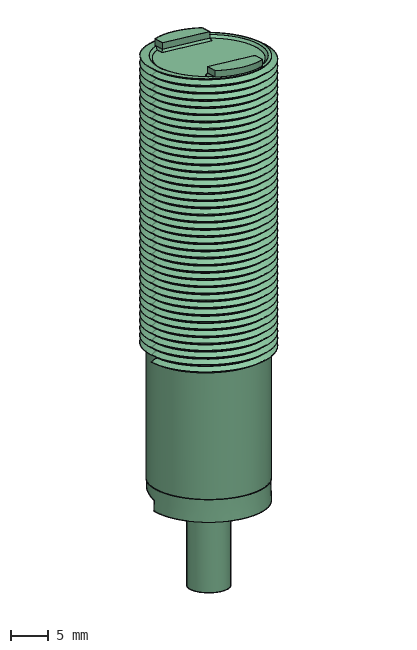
import cadquery as cq
import math

total_height = 76.02
rim_z = 75.1
thread_start_z = 33.55
cap_top_z = 15.25
cap_bottom_z = 12.05
hub_bottom_z = 11.2

body_radius = 8.36
cap_top_radius = 8.22
hub_radius = 3.7
cable_radius = 2.95

thread_pitch = 1.016
thread_crest_radius = 9.175
thread_root_radius = 8.3
root_gap = 0.02
thread_overrun = 3 * thread_pitch

recess_depth = 0.35
recess_rim_radius = 7.9
recess_floor_radius = 7.5
tab_outer_radius = 8.13
tab_inner_x = 5.38
tab_half_width = 3.78
tab_foot_flare = 0.22

rib_half_width = 0.66
scoop_radius = 6.14
scoop_centre = rib_half_width + scoop_radius
scoop_reach = 2 * body_radius

ceiling_edge_depth = 1.2
ceiling_edge_z = cap_top_z - ceiling_edge_depth
deep_corner_angle = 225
ceiling_slope = 16.0
indicator_distance = 5.3
indicator_radius = 1.2
indicator_depth = 1.0


def cylinder(radius, bottom_z, top_z):
    return cq.Workplane("XY").workplane(offset=bottom_z).circle(radius).extrude(top_z - bottom_z)


def frustum(bottom_radius, top_radius, bottom_z, top_z):
    half_section = [(0, bottom_z), (bottom_radius, bottom_z), (top_radius, top_z), (0, top_z)]
    return cq.Workplane("XZ").polyline(half_section).close().revolve()


def turn(shape, angle):
    """Turn a shape about the part's axis."""
    return shape.rotate((0, 0, 0), (0, 0, 1), angle)


def make_thread_turn():
    """The first turn of the thread ridge, starting on the -Y side."""
    half_base = (thread_pitch - root_gap) / 2
    helix = cq.Wire.makeHelix(thread_pitch, thread_pitch, body_radius)
    ridge = (
        cq.Workplane("XZ")
        .moveTo(thread_root_radius, -half_base)
        .lineTo(thread_crest_radius, 0)
        .lineTo(thread_root_radius, half_base)
        .close()
        .sweep(cq.Workplane(helix), isFrenet=True)
        .translate((0, 0, thread_start_z))
    )
    return turn(ridge, -90)


def make_body():
    """Threaded body, cut off level at the rim, with the recess and its tabs."""
    overrun_z = rim_z + thread_overrun
    body = cylinder(body_radius, cap_top_z, overrun_z)
    first_turn = make_thread_turn().val()
    turn_count = math.ceil((rim_z - thread_start_z) / thread_pitch) + 1
    turns = [first_turn.translate((0, 0, i * thread_pitch)) for i in range(turn_count)]
    body = cq.Workplane(body.val().fuse(*turns))
    body = body.cut(cylinder(2 * thread_crest_radius, rim_z, overrun_z))
    body = body.cut(frustum(recess_floor_radius, recess_rim_radius, rim_z - recess_depth, rim_z))
    for side in (1, -1):
        body = body.union(make_tab(side))
    return body


def make_tab(side):
    """A tab at +X (side 1) or -X (side -1) that flares towards the recess floor."""
    floor_z = rim_z - recess_depth

    def footprint(plane, flare):
        length = tab_outer_radius - tab_inner_x + flare
        centre_x = side * (tab_outer_radius - length / 2)
        return plane.center(centre_x, 0).rect(length, 2 * (tab_half_width + flare))

    foot = footprint(cq.Workplane("XY").workplane(offset=floor_z), tab_foot_flare)
    foot = (
        foot.workplane(offset=recess_depth)
        .center(side * tab_foot_flare / 2, 0)
        .rect(tab_outer_radius - tab_inner_x, 2 * tab_half_width)
        .loft(ruled=True)
    )
    upright = footprint(cq.Workplane("XY").workplane(offset=rim_z), 0).extrude(total_height - rim_z)
    return foot.union(upright).intersect(cylinder(tab_outer_radius, floor_z, total_height))


def make_scoop(top_z):
    """Cutter for the (-X, -Y) corner: straight along both ribs and round towards the hub."""
    tangent = -rib_half_width
    centre = -scoop_centre
    middle = centre + scoop_radius * math.sqrt(0.5)
    return (
        cq.Workplane("XY")
        .moveTo(tangent, -scoop_reach)
        .lineTo(tangent, centre)
        .threePointArc((middle, middle), (centre, tangent))
        .lineTo(-scoop_reach, tangent)
        .lineTo(-scoop_reach, -scoop_reach)
        .close()
        .extrude(top_z)
    )


def make_deep_scoop():
    """Scoop below a ceiling that falls towards the hub, with the indicator hole in it."""
    fall = math.tan(math.radians(ceiling_slope))
    ceiling_axis_z = ceiling_edge_z - cap_top_radius * fall
    ceiling_outer_z = ceiling_edge_z + (scoop_reach - cap_top_radius) * fall
    below_ceiling = (
        cq.Workplane("XZ")
        .moveTo(0, 0)
        .lineTo(scoop_reach, 0)
        .lineTo(scoop_reach, ceiling_outer_z)
        .lineTo(0, ceiling_axis_z)
        .close()
        .extrude(scoop_reach, both=True)
    )
    indicator_z = ceiling_axis_z + indicator_distance * fall
    indicator = cylinder(indicator_radius, cap_bottom_z, indicator_z + indicator_depth)
    indicator = indicator.translate((indicator_distance, 0, 0))
    scoop = make_scoop(cap_top_z).intersect(turn(below_ceiling, deep_corner_angle))
    return scoop.union(turn(indicator, deep_corner_angle))


def make_end_cap():
    cap = frustum(body_radius, cap_top_radius, cap_bottom_z, cap_top_z)
    hub = frustum(hub_radius, body_radius, hub_bottom_z, cap_bottom_z)
    cap = cap.union(hub)
    for angle in (90, 180, 270):
        cap = cap.cut(turn(make_scoop(cap_bottom_z), angle))
    return cap.cut(make_deep_scoop())


result = make_body().union(make_end_cap()).union(cylinder(cable_radius, 0, cap_bottom_z))